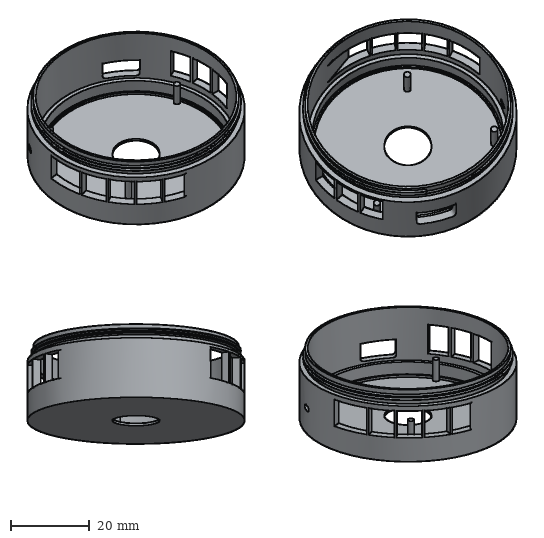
import cadquery as cq
import math

outer_radius = 27.65
cavity_radius = 51.0 / 2
lower_radius = 48.8 / 2
recess_radius = 23.9
neck_radius = 52.3 / 2
centre_hole_radius = 12.0 / 2
total_height = 19.4
shoulder_height = 15.5
floor_thickness = 0.65
lower_ledge_height = 1.3
upper_ledge_height = 4.7

thread_pitch = 1.0
thread_turns = 2
thread_depth = 0.55
thread_root_width = 0.85
thread_overlap = 0.1
thread_start_height = 16.3
thread_start_angle = 131.8

sill_height = 6.7
front_window_top = 14.1
front_window_left = -6.3
front_window_right = 24.95
front_window_tilt = 2.6
front_bar_first_angle = -82.3
front_bar_count = 4
back_window_top = 14.75
back_window_start = 63.5
back_window_end = 108.0
back_bar_first_angle = 79.7
back_bar_count = 2
bar_spacing = 15.1
front_bar_width = 0.55
back_bar_width = 0.8

port_start = 126.1
port_end = 147.7
port_bottom = 5.5
port_top = 10.5
port_corner_radius = 1.0

slot_angle = 230.8
slot_length = 2.7
slot_height = 1.3
slot_centre_height = 7.2

pin_diameter = 1.7
pin_sizes = [(-4.65, 22.7, 6.65), (-18.4, -12.0, 7.2), (9.25, -14.8, 7.2)]

reach = 2 * outer_radius


def cylinder(radius, bottom, top):
    return cq.Workplane("XY").workplane(offset=bottom).circle(radius).extrude(top - bottom)


def polar(radius, angle):
    return radius * math.cos(math.radians(angle)), radius * math.sin(math.radians(angle))


def sector(start, end, bottom, top):
    """Wedge from the axis outwards between two angles."""
    outline = [(0, 0), polar(reach, start), polar(reach, end)]
    return cq.Workplane("XY").workplane(offset=bottom).polyline(outline).close().extrude(top - bottom)


def radial_bars(first_angle, count, width, bottom, top):
    """Upright wall strips left standing inside a window."""
    bars = cq.Workplane("XY")
    for i in range(count):
        bar = cq.Workplane("XY").box(reach, width, top - bottom, centered=(False, True, False))
        bar = bar.translate((0, 0, bottom)).rotate((0, 0, 0), (0, 0, 1), first_angle + i * bar_spacing)
        bars = bars.add(bar)
    return bars.combine()


def shell():
    body = cylinder(outer_radius, 0, shoulder_height)
    body = body.union(cylinder(neck_radius, shoulder_height, total_height))
    body = body.cut(cylinder(cavity_radius, upper_ledge_height, total_height))
    body = body.cut(cylinder(lower_radius, lower_ledge_height, upper_ledge_height))
    body = body.cut(cylinder(recess_radius, floor_thickness, lower_ledge_height))
    return body.cut(cylinder(centre_hole_radius, 0, floor_thickness))


def thread():
    root_radius = neck_radius - thread_overlap
    path = cq.Wire.makeHelix(thread_pitch, thread_pitch * thread_turns, root_radius)
    tooth = [
        (root_radius, -thread_root_width / 2),
        (root_radius, thread_root_width / 2),
        (neck_radius + thread_depth, 0),
    ]
    ridge = cq.Workplane("XZ").polyline(tooth).close().sweep(cq.Workplane(path), isFrenet=True)
    ridge = ridge.rotate((0, 0, 0), (0, 0, 1), thread_start_angle)
    return ridge.translate((0, 0, thread_start_height))


def front_window():
    """Wide opening with two near-parallel end walls, split by radial bars."""
    height = front_window_top - sill_height

    def end_wall(x):
        outer_y = -math.sqrt(outer_radius**2 - x**2)
        lean = math.tan(math.radians(front_window_tilt))
        return [(x + lean * (y - outer_y), y) for y in (-reach, 0)]

    left_outer, left_inner = end_wall(front_window_left)
    right_outer, right_inner = end_wall(front_window_right)
    outline = [left_outer, right_outer, right_inner, left_inner]
    opening = cq.Workplane("XY").workplane(offset=sill_height).polyline(outline).close().extrude(height)
    bars = radial_bars(front_bar_first_angle, front_bar_count, front_bar_width, sill_height, front_window_top)
    return opening.cut(bars)


def back_window():
    opening = sector(back_window_start, back_window_end, sill_height, back_window_top)
    bars = radial_bars(back_bar_first_angle, back_bar_count, back_bar_width, sill_height, back_window_top)
    return opening.cut(bars)


def side_port():
    """Opening with radial ends and rounded lower corners."""
    port = sector(port_start, port_end, port_bottom, port_top)
    for end_angle, inward in ((port_start, 1), (port_end, -1)):
        arc_inset = inward * port_corner_radius * (1 - math.sqrt(0.5))
        arc_middle = (arc_inset, port_bottom + abs(arc_inset))
        corner = (
            cq.Workplane("YZ")
            .moveTo(0, port_bottom)
            .lineTo(inward * port_corner_radius, port_bottom)
            .threePointArc(arc_middle, (0, port_bottom + port_corner_radius))
            .close()
            .extrude(reach)
        )
        port = port.cut(corner.rotate((0, 0, 0), (0, 0, 1), end_angle))
    return port


def small_slot():
    along_wall = polar(1, slot_angle + 90) + (0,)
    outwards = polar(1, slot_angle) + (0,)
    plane = cq.Plane(origin=(0, 0, slot_centre_height), xDir=along_wall, normal=outwards)
    return cq.Workplane(plane).slot2D(slot_length, slot_height).extrude(reach)


def pins():
    posts = cq.Workplane("XY")
    for x, y, top in pin_sizes:
        posts = posts.add(cylinder(pin_diameter / 2, 0, top).translate((x, y, 0)))
    return posts.combine()


result = shell().union(thread())
for opening in (front_window(), back_window(), side_port(), small_slot()):
    result = result.cut(opening)
result = result.union(pins())